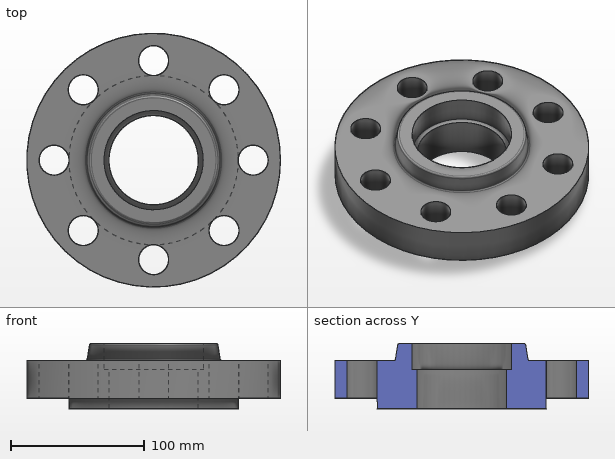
import cadquery as cq
import math

flange_diameter = 190.5
flange_thickness = 28.4

face_diameter = 127.0
face_height = 8.0

hub_base_diameter = 100.2
hub_height = 12.8
hub_taper_angle = 9.0
hub_top_round = 1.5
hub_base_fillet = 1.1

bore_diameter = 66.8
socket_diameter = 74.5
socket_depth = 19.5

bolt_count = 8
bolt_hole_diameter = 22.3
bolt_circle_diameter = 149.3

flange_bottom = face_height
flange_top = flange_bottom + flange_thickness
hub_top = flange_top + hub_height

hub_base_radius = hub_base_diameter / 2
hub_top_radius = hub_base_radius - hub_height * math.tan(math.radians(hub_taper_angle))


def disc(diameter, bottom, height):
    """Solid cylinder on the Z axis."""
    return cq.Workplane("XY").workplane(offset=bottom).circle(diameter / 2).extrude(height)


def circle_at(radius, height):
    """Selector for the circular edge of the given radius at the given level."""
    margin = 0.02
    reach = radius + margin
    return cq.selectors.BoxSelector(
        (-reach, -reach, height - margin),
        (reach, reach, height + margin),
        boundingbox=True,
    )


def flange_with_hub():
    """Raised face, disc and tapered hub, with the hub edges rounded."""
    hub = cq.Workplane("XY").workplane(offset=flange_top).circle(hub_base_radius)
    hub = hub.extrude(hub_height, taper=hub_taper_angle)
    body = disc(face_diameter, 0, face_height)
    body = body.union(disc(flange_diameter, flange_bottom, flange_thickness))
    body = body.union(hub)
    body = body.edges(circle_at(hub_top_radius, hub_top)).fillet(hub_top_round)
    return body.edges(circle_at(hub_base_radius, flange_top)).fillet(hub_base_fillet)


def bolt_holes():
    """Ring of cylinders that cut the bolt holes through the disc."""
    ring = cq.Workplane("XY").workplane(offset=flange_bottom)
    ring = ring.polarArray(bolt_circle_diameter / 2, 0, 360, bolt_count)
    return ring.circle(bolt_hole_diameter / 2).extrude(flange_thickness)


bore = disc(bore_diameter, 0, hub_top)
socket = disc(socket_diameter, hub_top - socket_depth, socket_depth)

result = flange_with_hub().cut(bore).cut(socket).cut(bolt_holes())